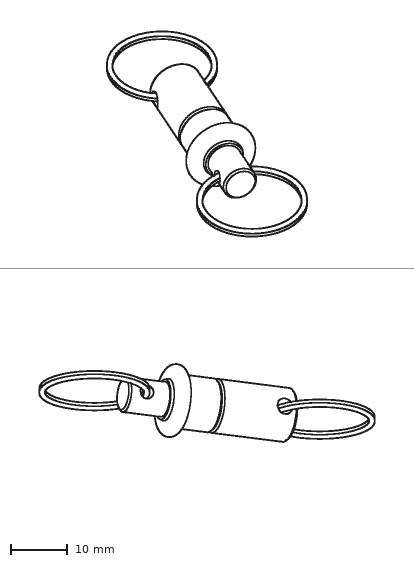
import cadquery as cq

overall_length = 62.55
edge_chamfer = 0.4

ring_outer_radius = 9.75
ring_width = 1.0
coil_height = 0.6
coil_fillet = 0.25
ring_center_x = overall_length / 2 - ring_outer_radius

barrel_radius = 4.8
handle_start_x = -15.45
joint_x = -1.05
handle_hole_x = -12.95
handle_hole_diameter = 2.9

flange_radius = 6.5
flange_start_x = 5.3
flange_width = 2.5
flange_end_x = flange_start_x + flange_width
flange_round = flange_width / 2
collar_base_radius = 3.75
collar_tip_radius = 3.55
collar_length = 0.55
collar_end_x = flange_end_x + collar_length
stem_radius = 3.1
stem_end_x = 16.1
stem_hole_x = 12.75
stem_hole_diameter = 2.5


def cross_hole(x, diameter):
    """Cutter along Y, long enough to pass right through the barrel or stem."""
    return cq.Workplane("XZ").center(x, 0).circle(diameter / 2).extrude(barrel_radius, both=True)


def revolve_about_x(outline):
    return outline.close().revolve(360, (0, 0, 0), (1, 0, 0))


def make_handle():
    """Cylinder chamfered at both ends, with a cross hole for its ring."""
    length = joint_x - handle_start_x
    cylinder = cq.Workplane("YZ", origin=(handle_start_x, 0, 0)).circle(barrel_radius).extrude(length)
    return cylinder.edges().chamfer(edge_chamfer).cut(cross_hole(handle_hole_x, handle_hole_diameter))


def make_coupler():
    """Turned barrel, full-round flange, tapered collar and stem with a cross hole."""
    flange_shoulder_radius = flange_radius - flange_round
    outline = (
        cq.Workplane("XY")
        .moveTo(joint_x, 0)
        .lineTo(joint_x, barrel_radius - edge_chamfer)
        .lineTo(joint_x + edge_chamfer, barrel_radius)
        .lineTo(flange_start_x, barrel_radius)
        .lineTo(flange_start_x, flange_shoulder_radius)
        .threePointArc(
            (flange_start_x + flange_round, flange_radius),
            (flange_end_x, flange_shoulder_radius),
        )
        .lineTo(flange_end_x, collar_base_radius)
        .lineTo(collar_end_x, collar_tip_radius)
        .lineTo(collar_end_x, stem_radius)
        .lineTo(stem_end_x - edge_chamfer, stem_radius)
        .lineTo(stem_end_x, stem_radius - edge_chamfer)
        .lineTo(stem_end_x, 0)
    )
    return revolve_about_x(outline).cut(cross_hole(stem_hole_x, stem_hole_diameter))


def make_coil(bottom_z):
    """One flat coil with rounded edges, centred on the Z axis."""
    coil = (
        cq.Workplane("XY", origin=(0, 0, bottom_z))
        .circle(ring_outer_radius)
        .circle(ring_outer_radius - ring_width)
        .extrude(coil_height)
    )
    return coil.edges().fillet(coil_fillet)


def make_split_ring(center_x):
    """Two coils joined face to face, leaving a groove between their rounded edges."""
    ring = make_coil(-coil_height).union(make_coil(0))
    return ring.translate((center_x, 0, 0))


handle = make_handle()
coupler = make_coupler()
split_rings = [make_split_ring(side * ring_center_x) for side in (-1, 1)]

result = cq.Compound.makeCompound(
    [body.solids().val() for body in (handle, coupler, *split_rings)]
)